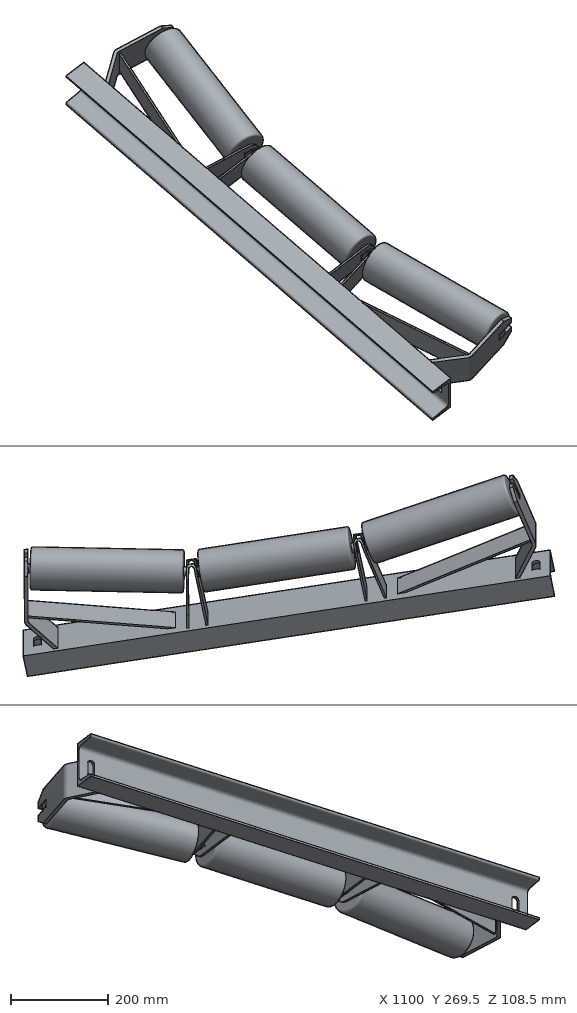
import math

import cadquery as cq


beam_length = 1100.0
beam_height = 100.0
beam_depth = 51.0
web_thickness = 6.0
flange_tip_thickness = 7.0
flange_root_thickness = 10.0
flange_root_radius = 8.2
flange_tip_radius = 4.0
slot_offset = 520.0
slot_width = 16.0
slot_height = 33.0

roller_diameter = 89.0
roller_length = 315.0
roller_edge_radius = 4.0
shaft_diameter = 20.0
shaft_flat_width = 16.0
shaft_flat_margin = 1.0
trough_angle = 10.0
forward_tilt = 2.4
centre_axis_y = 117.0
centre_axis_z = -14.0
wing_middle_x = 348.0
wing_middle_y = 148.0
wing_middle_z = -7.2

hairpin_height = 50.0
hairpin_thickness = 4.0
hairpin_bend_radius = 8.2
hairpin_leg_x = 166.0
hairpin_bend_y = 133.0

plate_height = 80.0
plate_thickness = 8.0
plate_bend_radius = 18.0
plate_bend_x = 516.0
plate_bend_y = 75.0
plate_foot_angle = 34.0
plate_tip_y = 208.0
tip_bevel_length = 26.0
tip_bevel_height = 18.0

strut_height = 60.0
strut_thickness = 4.0
strut_angle = 15.5
strut_foot_y = 77.0

cutter_reach = 55.0

trough_sin = math.sin(math.radians(trough_angle))
trough_cos = math.cos(math.radians(trough_angle))
foot_sin = math.sin(math.radians(plate_foot_angle))
foot_cos = math.cos(math.radians(plate_foot_angle))
strut_sin = math.sin(math.radians(strut_angle))
strut_cos = math.cos(math.radians(strut_angle))
roller_radius = roller_diameter / 2
shaft_radius = shaft_diameter / 2
hairpin_inner_radius = hairpin_bend_radius - hairpin_thickness / 2
hairpin_outer_radius = hairpin_bend_radius + hairpin_thickness / 2
hairpin_bend_x = hairpin_leg_x + hairpin_bend_radius
plate_inner_radius = plate_bend_radius - plate_thickness



def hairpin_slanted_point(radius):
    """Where the slanted leg of the hairpin leaves a bend arc of this radius."""
    return (hairpin_bend_x + radius * trough_cos, hairpin_bend_y + radius * trough_sin)


def hairpin_foot(radius):
    """Where the slanted leg that leaves this bend arc reaches the beam."""
    x, y = hairpin_slanted_point(radius)
    return (x + y * trough_sin / trough_cos, 0)


def plate_upper_point(radius, y=None):
    """A point on the upper leg of the outer plate: at height y, or at the bend."""
    bend_end_x = plate_bend_x + radius * trough_cos
    bend_end_y = plate_bend_y + radius * trough_sin
    if y is None:
        return (bend_end_x, bend_end_y)
    return (bend_end_x - (y - bend_end_y) * trough_sin / trough_cos, y)


def plate_lower_point(radius):
    """Where the lower leg of the outer plate leaves a bend arc of this radius."""
    return (plate_bend_x + radius * foot_cos, plate_bend_y - radius * foot_sin)


def plate_foot(radius):
    """Where the lower leg of the outer plate reaches the beam."""
    x, y = plate_lower_point(radius)
    return (x - y * foot_sin / foot_cos, 0)



def roller_plane(middle_x, middle_y, middle_z, turn, tilt):
    return cq.Plane(
        origin=(middle_x, middle_y, middle_z),
        xDir=(
            math.cos(math.radians(turn)) * math.cos(math.radians(tilt)),
            math.sin(math.radians(turn)) * math.cos(math.radians(tilt)),
            math.sin(math.radians(tilt)),
        ),
        normal=(
            -math.cos(math.radians(turn)) * math.sin(math.radians(tilt)),
            -math.sin(math.radians(turn)) * math.sin(math.radians(tilt)),
            math.cos(math.radians(tilt)),
        ),
    )


centre_plane = roller_plane(0, centre_axis_y, centre_axis_z, 0, 0)
wing_plane = roller_plane(wing_middle_x, wing_middle_y, wing_middle_z, trough_angle, forward_tilt)


def reach_along_wing(point):
    """Distance from the wing roller's middle to a plan point, measured along its axis."""
    along = (point[0] - wing_middle_x) * trough_cos + (point[1] - wing_middle_y) * trough_sin
    return along / math.cos(math.radians(forward_tilt))


centre_grip = (hairpin_leg_x - hairpin_thickness / 2, hairpin_leg_x + hairpin_thickness / 2)
wing_outer_grip = (
    reach_along_wing(plate_upper_point(plate_inner_radius)),
    reach_along_wing(plate_upper_point(plate_bend_radius)),
)
wing_inner_grip = (
    reach_along_wing(hairpin_slanted_point(hairpin_outer_radius)),
    reach_along_wing(hairpin_slanted_point(hairpin_inner_radius)),
)


def make_beam():
    half_height = beam_height / 2
    root_z = half_height - flange_root_thickness
    tip_z = half_height - flange_tip_thickness
    profile = [
        (0, -half_height),
        (-beam_depth, -half_height),
        (-beam_depth, -tip_z),
        (-web_thickness, -root_z),
        (-web_thickness, root_z),
        (-beam_depth, tip_z),
        (-beam_depth, half_height),
        (0, half_height),
    ]
    beam = cq.Workplane("YZ", origin=(-beam_length / 2, 0, 0)).polyline(profile).close().extrude(beam_length)
    for z in (-root_z, root_z):
        beam = beam.edges(cq.NearestToPointSelector((0, -web_thickness, z))).fillet(flange_root_radius)
    for z in (-tip_z, tip_z):
        beam = beam.edges(cq.NearestToPointSelector((0, -beam_depth, z))).fillet(flange_tip_radius)
    arch_z = (slot_height - slot_width) / 2
    for x in (-slot_offset, slot_offset):
        slot = (
            cq.Workplane("XZ")
            .moveTo(x - slot_width / 2, -slot_height / 2)
            .lineTo(x + slot_width / 2, -slot_height / 2)
            .lineTo(x + slot_width / 2, arch_z)
            .threePointArc((x, slot_height / 2), (x - slot_width / 2, arch_z))
            .close()
            .extrude(web_thickness)
        )
        beam = beam.cut(slot)
    return beam


def make_roller(plane, inner_grip, outer_grip):
    """A roller whose shaft ends are flattened where the brackets hold them."""
    drum = (
        cq.Workplane("YZ", origin=(-roller_length / 2, 0, 0))
        .circle(roller_radius)
        .extrude(roller_length)
        .edges()
        .fillet(roller_edge_radius)
    )
    start = inner_grip[1]
    length = outer_grip[1] - start
    shaft = cq.Workplane("YZ", origin=(start, 0, 0)).circle(shaft_radius).extrude(length)
    for near, far in (inner_grip, outer_grip):
        flat_length = abs(far - near) + 2 * shaft_flat_margin
        band = cq.Workplane().box(flat_length, shaft_diameter, shaft_diameter)
        flats = band.cut(cq.Workplane().box(flat_length, shaft_diameter, shaft_flat_width))
        shaft = shaft.cut(flats.translate(((near + far) / 2, 0, 0)))
    return cq.Workplane(drum.union(shaft).val().moved(plane.location))


def shaft_slot(plane, grip, reach):
    """Cutter for a slot that holds a shaft's flats and opens at the bracket tip.

    It is centred on the gripped strip and reaches this far to each side of it.
    """
    slot = (
        cq.Workplane()
        .box(2 * reach, cutter_reach, shaft_flat_width)
        .translate(((grip[0] + grip[1]) / 2, cutter_reach / 2 - shaft_radius, 0))
    )
    return cq.Workplane(slot.val().moved(plane.location))


def plate_tip_bevels(tip_x, tip_y):
    """Two wedges that bevel the top and bottom corners of the outer plate's tip."""
    half_height = plate_height / 2
    wedges = cq.Workplane("YZ", origin=(tip_x, 0, 0))
    for side in (-1, 1):
        corner = [
            (tip_y - tip_bevel_length, side * half_height),
            (tip_y, side * (half_height - tip_bevel_height)),
            (tip_y + tip_bevel_length, side * (half_height - tip_bevel_height)),
            (tip_y + tip_bevel_length, side * half_height),
        ]
        wedges = wedges.polyline(corner).close()
    return wedges.extrude(cutter_reach, both=True)


def round_tip_profile():
    """A bar along X whose outline gives the hairpin its half-round tip."""
    tip_radius = hairpin_height / 2
    tip_y = hairpin_bend_y + hairpin_outer_radius
    return (
        cq.Workplane("YZ", origin=(0, 0, centre_axis_z))
        .moveTo(0, -tip_radius)
        .lineTo(tip_y - tip_radius, -tip_radius)
        .threePointArc((tip_y, 0), (tip_y - tip_radius, tip_radius))
        .lineTo(0, tip_radius)
        .close()
        .extrude(beam_length / 2)
    )


def make_inner_bracket():
    inner_x = hairpin_bend_x - hairpin_inner_radius
    outer_x = hairpin_bend_x - hairpin_outer_radius
    bracket = (
        cq.Workplane("XY", origin=(0, 0, centre_axis_z - hairpin_height / 2))
        .moveTo(outer_x, 0)
        .lineTo(outer_x, hairpin_bend_y)
        .threePointArc(
            (hairpin_bend_x, hairpin_bend_y + hairpin_outer_radius),
            hairpin_slanted_point(hairpin_outer_radius),
        )
        .lineTo(*hairpin_foot(hairpin_outer_radius))
        .lineTo(*hairpin_foot(hairpin_inner_radius))
        .lineTo(*hairpin_slanted_point(hairpin_inner_radius))
        .threePointArc(
            (hairpin_bend_x, hairpin_bend_y + hairpin_inner_radius),
            (inner_x, hairpin_bend_y),
        )
        .lineTo(inner_x, 0)
        .close()
        .extrude(hairpin_height)
    )
    bracket = bracket.intersect(round_tip_profile())
    bracket = bracket.cut(shaft_slot(centre_plane, centre_grip, hairpin_bend_radius))
    return bracket.cut(shaft_slot(wing_plane, wing_inner_grip, hairpin_bend_radius))


def make_outer_bracket():
    inner_tip = plate_upper_point(plate_inner_radius, plate_tip_y)
    outer_tip = (
        inner_tip[0] + plate_thickness * trough_cos,
        inner_tip[1] + plate_thickness * trough_sin,
    )
    bracket = (
        cq.Workplane("XY", origin=(0, 0, -plate_height / 2))
        .moveTo(*plate_foot(plate_bend_radius))
        .lineTo(*plate_lower_point(plate_bend_radius))
        .threePointArc(
            (plate_bend_x + plate_bend_radius, plate_bend_y),
            plate_upper_point(plate_bend_radius),
        )
        .lineTo(*outer_tip)
        .lineTo(*inner_tip)
        .lineTo(*plate_upper_point(plate_inner_radius))
        .threePointArc(
            (plate_bend_x + plate_inner_radius, plate_bend_y),
            plate_lower_point(plate_inner_radius),
        )
        .lineTo(*plate_foot(plate_inner_radius))
        .close()
        .extrude(plate_height)
    )
    bracket = bracket.cut(plate_tip_bevels(*outer_tip))
    return bracket.cut(shaft_slot(wing_plane, wing_outer_grip, plate_thickness))


def make_strut():
    lower_end = plate_upper_point(plate_inner_radius, strut_foot_y)
    end_length = strut_thickness / math.cos(math.radians(strut_angle - trough_angle))
    upper_end = (
        lower_end[0] - end_length * trough_sin,
        lower_end[1] + end_length * trough_cos,
    )
    outline = [
        lower_end,
        upper_end,
        (upper_end[0] - upper_end[1] * strut_cos / strut_sin, 0),
        (lower_end[0] - lower_end[1] * strut_cos / strut_sin, 0),
    ]
    base = cq.Workplane("XY", origin=(0, 0, -strut_height / 2))
    return base.polyline(outline).close().extrude(strut_height)


beam = make_beam()
centre_roller = make_roller(centre_plane, (-centre_grip[0], -centre_grip[1]), centre_grip)
wing_roller = make_roller(wing_plane, wing_inner_grip, wing_outer_grip)

bodies = [beam.val(), centre_roller.val()]
for part in (wing_roller, make_inner_bracket(), make_outer_bracket(), make_strut()):
    bodies.append(part.val())
    bodies.append(part.mirror("YZ").val())

result = cq.Compound.makeCompound(bodies)